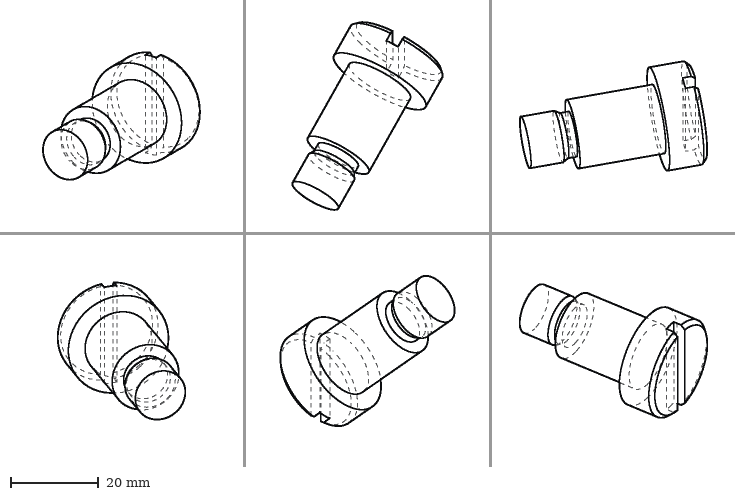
import cadquery as cq
import math


head_diameter = 24.0
head_height = 9.0
head_chamfer = 1.0

shoulder_diameter = 16.0
shoulder_length = 20.0

thread_diameter = 12.0
thread_end_length = 11.0

undercut_diameter = 10.5
undercut_width = 2.0
undercut_taper_angle = 30.0

slot_width = 3.0
slot_depth = 3.0

head_radius = head_diameter / 2
shoulder_radius = shoulder_diameter / 2
thread_radius = thread_diameter / 2
undercut_radius = undercut_diameter / 2
taper_length = (thread_radius - undercut_radius) / math.tan(math.radians(undercut_taper_angle))

head_top_y = head_height
shoulder_end_y = -shoulder_length
undercut_end_y = shoulder_end_y - undercut_width
taper_end_y = undercut_end_y - taper_length
tip_y = shoulder_end_y - thread_end_length


def make_screw_body():
    """Revolve the half profile (radius along X, length along Y) about the Y axis."""
    half_profile = (
        cq.Workplane("XY")
        .moveTo(0, tip_y)
        .lineTo(thread_radius, tip_y)
        .lineTo(thread_radius, taper_end_y)
        .lineTo(undercut_radius, undercut_end_y)
        .lineTo(undercut_radius, shoulder_end_y)
        .lineTo(shoulder_radius, shoulder_end_y)
        .lineTo(shoulder_radius, 0)
        .lineTo(head_radius, 0)
        .lineTo(head_radius, head_top_y - head_chamfer)
        .lineTo(head_radius - head_chamfer, head_top_y)
        .lineTo(0, head_top_y)
        .close()
    )
    return half_profile.revolve(360, (0, 0, 0), (0, 1, 0))


def make_driver_slot():
    """Straight slot across the full head along Z, open at the head top."""
    slot_center_y = head_top_y - slot_depth / 2
    return (
        cq.Workplane("XY")
        .box(slot_width, slot_depth, head_diameter)
        .translate((0, slot_center_y, 0))
    )


result = make_screw_body().cut(make_driver_slot())